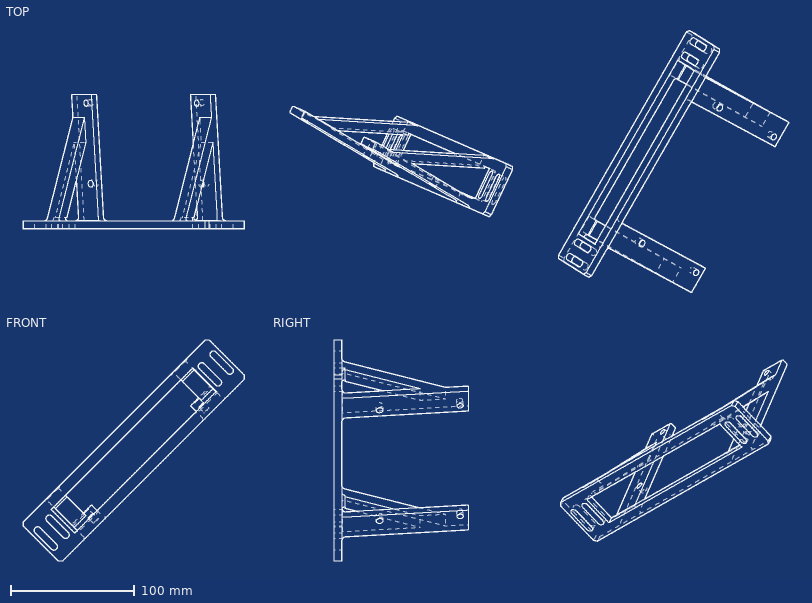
import cadquery as cq
import math


overall_span = 179.2
overall_depth = 109.0
frame_width = 45.0
corner_chamfer = 2.3
frame_length = overall_span * math.sqrt(2) - frame_width + 2 * corner_chamfer
frame_thickness = 6.5
opening_length = 162.0
opening_width = 26.9

slot_width = 5.5
slot_length = 24.2
inner_slot_position = 87.3
slot_spacing = 13.5

arm_width = 22.8
arm_thickness = 6.1
arm_slope = 0.08
arm_tip_top = -6.8
lower_arm_start = -78.1
upper_arm_end = 80.8
tip_fillet = 1.0
root_fillet = 2.5

brace_width = 13.5
brace_height = 90.3
brace_root_top = 21.7
brace_root_thickness = 9.0

hole_inset = 6.6
tip_hole_height = 102.0
tip_hole_diameter = 5.0
root_hole_height = 36.7
root_hole_diameter = 5.5


def arm_top(height):
    """Position across the frame of the blade's upper face at a given height."""
    return arm_tip_top - arm_slope * (overall_depth - height)


def profile_solid(points, start, width):
    """Extrude a profile of (across, height) points along the frame."""
    return cq.Workplane("XZ", origin=(0, start, 0)).polyline(points).close().extrude(-width)


def make_blade(start):
    root_top = arm_top(0)
    points = [
        (root_top - arm_thickness, 0),
        (root_top, 0),
        (arm_tip_top, overall_depth),
        (arm_tip_top - arm_thickness, overall_depth),
    ]
    return profile_solid(points, start, arm_width).faces(">Z").edges("|Y").fillet(tip_fillet)


def make_brace(start):
    join_top = arm_top(brace_height)
    rise = brace_height - frame_thickness
    slope = (brace_root_top - join_top) / rise
    middle_at_zero = arm_top(0) - arm_thickness / 2

    def point_in_blade(root):
        height = (root + slope * frame_thickness - middle_at_zero) / (slope + arm_slope)
        return (middle_at_zero + arm_slope * height, height)

    root_bottom = brace_root_top - brace_root_thickness
    points = [
        (root_bottom, frame_thickness),
        (brace_root_top, frame_thickness),
        (join_top, brace_height),
        (arm_top(brace_height) - arm_thickness / 2, brace_height),
        point_in_blade(root_bottom),
    ]
    return profile_solid(points, start, brace_width)


def make_hole(along, height, diameter):
    """Cylinder square to the leaning blade."""
    axis = cq.Vector(1, 0, -arm_slope)
    centre = cq.Vector(arm_top(height) - arm_thickness / 2, along, height)
    base = centre - axis * arm_thickness
    return cq.Workplane(cq.Solid.makeCylinder(diameter / 2, 2 * arm_thickness, base, axis))


def frame_block(height):
    return (
        cq.Workplane("XY")
        .rect(frame_width, frame_length)
        .extrude(height)
        .edges("|Z")
        .chamfer(corner_chamfer)
    )


upper_arm_start = upper_arm_end - arm_width
upper_brace_start = upper_arm_end - brace_width

base_width = frame_width + 4 * root_fillet
part = cq.Workplane("XY").rect(base_width, frame_length).extrude(frame_thickness)
for arm_start, brace_start in (
    (lower_arm_start, lower_arm_start),
    (upper_arm_start, upper_brace_start),
):
    part = part.union(make_blade(arm_start)).union(make_brace(brace_start))

brace_root_middle = brace_root_top - brace_root_thickness / 4
root_edges = cq.selectors.BoxSelector(
    (-frame_width / 2, lower_arm_start - root_fillet, frame_thickness - root_fillet),
    (brace_root_middle, upper_arm_end + root_fillet, frame_thickness + root_fillet),
)
part = part.faces("|Z").edges(root_edges).fillet(root_fillet)

part = part.intersect(frame_block(overall_depth))

opening_depth = frame_thickness + root_fillet
opening = cq.Workplane("XY").rect(opening_width, opening_length).extrude(opening_depth)
part = part.cut(opening)

slot_positions = [
    (0, side * (inner_slot_position + index * slot_spacing)) for side in (-1, 1) for index in (0, 1)
]
slots = cq.Workplane("XY").pushPoints(slot_positions).slot2D(slot_length, slot_width).extrude(frame_thickness)
part = part.cut(slots)

for along in (lower_arm_start + arm_width - hole_inset, upper_arm_start + hole_inset):
    part = part.cut(make_hole(along, tip_hole_height, tip_hole_diameter))
    part = part.cut(make_hole(along, root_hole_height, root_hole_diameter))

mounting_plane = cq.Plane(origin=(0, 0, 0), xDir=(-1, 0, 1), normal=(0, 1, 0))
result = cq.Workplane(part.val().moved(mounting_plane.location))